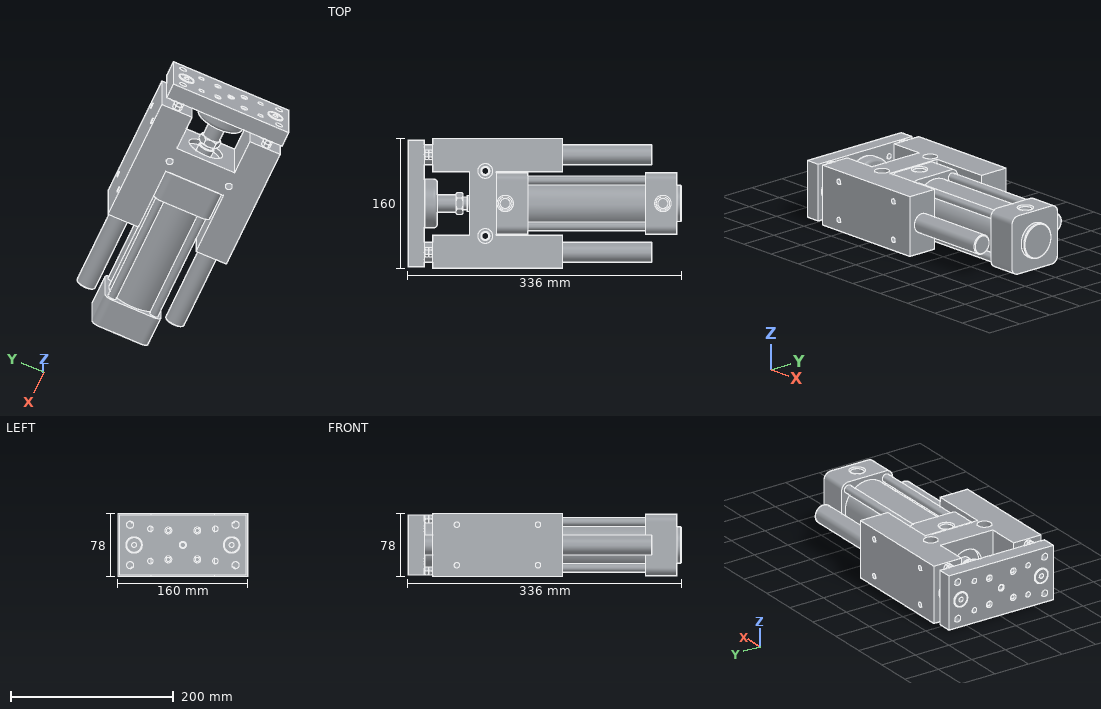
import cadquery as cq
import math


OVERALL_LENGTH = 336.0

BLOCK_FRONT = 30.0
BLOCK_LENGTH = 160.0
BLOCK_WIDTH = 160.0
BLOCK_HEIGHT = 78.0
SLOT_WIDTH = 78.0
BRIDGE_FRONT = 75.3
BRIDGE_REAR = 108.5
RECESS_DIAMETER = 45.0
RECESS_DEPTH = 6.7

MOUNT_HOLE_X = 94.8
MOUNT_HOLE_Y = 40.0
MOUNT_COUNTERBORE_DIAMETER = 18.0
MOUNT_COUNTERBORE_DEPTH = 11.0
MOUNT_CLEARANCE_DIAMETER = 11.0
MOUNT_THREAD_DIAMETER = 8.5

SIDE_HOLE_DIAMETER = 6.7
SIDE_HOLE_DEPTH = 12.0
SIDE_HOLE_FIRST_X = 59.8
SIDE_HOLE_PITCH = 99.8
SIDE_HOLE_Z = 25.0

CAP_SIZE = 76.0
CAP_LENGTH = 38.5
CAP_CORNER_RADIUS = 10.0
REAR_BOSS_DIAMETER = 45.0
REAR_BOSS_LENGTH = 5.7
REAR_BOSS_CHAMFER = 1.0
TUBE_DIAMETER = 65.2
TIE_ROD_DIAMETER = 11.0
TIE_ROD_OFFSET = 28.2

PORT_FRONT_SETBACK = 10.8
PORT_REAR_SETBACK = 17.0
PORT_MOUTH_DIAMETER = 20.0
PORT_THREAD_DIAMETER = 16.5
PORT_FLOOR_DIAMETER = 12.5
PORT_MOUTH_DEPTH = 1.7
PORT_DEPTH = 12.0

PLATE_THICKNESS = 19.8
PLATE_WIDTH = 156.0
PLATE_HEIGHT = 74.0
CORNER_HOLE_DIAMETER = 8.7
CORNER_HOLE_Y = 65.0
CORNER_HOLE_Z = 25.0
INNER_HOLE_DIAMETER = 6.7
INNER_HOLE_Y = 40.0
INNER_HOLE_Z = 19.8
SCREW_HOLE_OFFSET = 17.8
SCREW_HOLE_DIAMETER = 5.0
SCREW_COUNTERSINK_DIAMETER = 8.5
CENTRE_HOLE_DIAMETER = 6.7
CENTRE_COUNTERSINK_DIAMETER = 8.7

GUIDE_ROD_DIAMETER = 25.0
GUIDE_ROD_END = 300.0
GUIDE_ROD_PITCH = 120.0
GUIDE_ROD_CHAMFER = 1.0
ROD_RING_DIAMETER = 20.0
ROD_RING_WIDTH = 1.0
ROD_CENTRE_HOLE_DIAMETER = 6.0
ROD_CENTRE_HOLE_DEPTH = 10.0

FLANGE_DIAMETER = 60.0
FLANGE_REAR = 36.0
FLANGE_FILLET = 4.7
FLANGE_CHAMFER = 1.0
COUPLER_DIAMETER = 22.0
LOCK_NUT_FRONT = 58.5
LOCK_NUT_THICKNESS = 9.0
LOCK_NUT_FLATS = 24.0
ROD_THREAD_DIAMETER = 16.0
PISTON_ROD_DIAMETER = 20.0
PISTON_ROD_FRONT = 72.2
PISTON_ROD_CHAMFER = 0.7

STOP_FLATS = 10.0
STOP_GAP = 0.7
STOP_Z = 32.0

GUIDE_ROD_Y = GUIDE_ROD_PITCH / 2
BLOCK_REAR = BLOCK_FRONT + BLOCK_LENGTH
FRONT_CAP_REAR = BRIDGE_REAR + CAP_LENGTH
REAR_CAP_REAR = OVERALL_LENGTH - REAR_BOSS_LENGTH
REAR_CAP_FRONT = REAR_CAP_REAR - CAP_LENGTH
SIDES = (-1, 1)


def box(x_start, x_end, width, height):
    """Box from x_start to x_end, centred on the X axis."""
    return cq.Workplane("XY").box(x_end - x_start, width, height).translate(((x_start + x_end) / 2, 0, 0))


def rod(x_start, x_end, diameter, y=0, z=0):
    """Round bar along X."""
    return cq.Workplane("YZ", origin=(x_start, y, z)).circle(diameter / 2).extrude(x_end - x_start)


def cone(x_start, x_end, start_diameter, end_diameter, y=0, z=0):
    """Truncated cone along X."""
    solid = cq.Solid.makeCone(
        start_diameter / 2, end_diameter / 2, x_end - x_start, cq.Vector(x_start, y, z), cq.Vector(1, 0, 0)
    )
    return cq.Workplane(obj=solid)


def vertical_bore(x, y, z_bottom, z_top, bottom_diameter, top_diameter):
    """Upright cutter, straight or tapered."""
    bore = cq.Workplane("XY", origin=(x, y, z_bottom)).circle(bottom_diameter / 2)
    if bottom_diameter == top_diameter:
        return bore.extrude(z_top - z_bottom)
    return bore.workplane(offset=z_top - z_bottom).circle(top_diameter / 2).loft()


def hexagon(x_start, x_end, flats, y=0, z=0):
    """Hexagon nut along X, corners toward +-Y, corner-chamfered at 45 degrees on both faces."""
    corners = flats / math.cos(math.pi / 6)
    nut = cq.Workplane("YZ", origin=(x_start, y, z)).polygon(6, corners).extrude(x_end - x_start)
    middle = (x_start + x_end) / 2
    spread = flats + 2 * (middle - x_start)
    rounded = cone(x_start, middle, flats, spread, y, z).union(cone(middle, x_end, spread, flats, y, z))
    return nut.intersect(rounded)


def quadrants(y, z):
    return [(side_y * y, side_z * z) for side_y in SIDES for side_z in SIDES]



def guide_block():
    block = box(BLOCK_FRONT, BLOCK_REAR, BLOCK_WIDTH, BLOCK_HEIGHT)
    block = block.cut(box(BLOCK_FRONT, BRIDGE_FRONT, SLOT_WIDTH, BLOCK_HEIGHT))
    block = block.cut(box(BRIDGE_REAR, BLOCK_REAR, SLOT_WIDTH, BLOCK_HEIGHT))
    block = block.cut(rod(BRIDGE_FRONT, BRIDGE_FRONT + RECESS_DEPTH, RECESS_DIAMETER))
    block = block.cut(rod(BRIDGE_FRONT, BRIDGE_REAR, PISTON_ROD_DIAMETER))
    for side in SIDES:
        block = block.cut(rod(BLOCK_FRONT, BLOCK_REAR, GUIDE_ROD_DIAMETER, side * GUIDE_ROD_Y))
        block = block.cut(mount_hole(side * MOUNT_HOLE_Y))
    return block.cut(side_holes())


def mount_hole(y):
    top = BLOCK_HEIGHT / 2
    seat = top - MOUNT_COUNTERBORE_DEPTH
    counterbore = vertical_bore(
        MOUNT_HOLE_X, y, seat, top, MOUNT_COUNTERBORE_DIAMETER, MOUNT_COUNTERBORE_DIAMETER
    )
    clearance = vertical_bore(MOUNT_HOLE_X, y, 0, seat, MOUNT_CLEARANCE_DIAMETER, MOUNT_CLEARANCE_DIAMETER)
    thread = vertical_bore(MOUNT_HOLE_X, y, -top, 0, MOUNT_THREAD_DIAMETER, MOUNT_THREAD_DIAMETER)
    return counterbore.union(clearance).union(thread)


def side_holes():
    holes = cq.Workplane("XY")
    for x in (SIDE_HOLE_FIRST_X, SIDE_HOLE_FIRST_X + SIDE_HOLE_PITCH):
        for side, z in quadrants(1, SIDE_HOLE_Z):
            start = cq.Vector(x, side * BLOCK_WIDTH / 2, z)
            inward = cq.Vector(0, -side, 0)
            holes = holes.add(cq.Solid.makeCylinder(SIDE_HOLE_DIAMETER / 2, SIDE_HOLE_DEPTH, start, inward))
    return holes.combine()


def end_cap(x_front, port_x):
    cap = box(x_front, x_front + CAP_LENGTH, CAP_SIZE, CAP_SIZE).edges("|X").fillet(CAP_CORNER_RADIUS)
    top = CAP_SIZE / 2
    shoulder = top - PORT_MOUTH_DEPTH
    cap = cap.cut(vertical_bore(port_x, 0, shoulder, top, PORT_THREAD_DIAMETER, PORT_MOUTH_DIAMETER))
    floor = top - PORT_DEPTH
    return cap.cut(vertical_bore(port_x, 0, floor, shoulder, PORT_FLOOR_DIAMETER, PORT_THREAD_DIAMETER))


def cylinder():
    barrel = end_cap(BRIDGE_REAR, BRIDGE_REAR + PORT_FRONT_SETBACK)
    barrel = barrel.union(end_cap(REAR_CAP_FRONT, REAR_CAP_REAR - PORT_REAR_SETBACK))
    barrel = barrel.union(rod(FRONT_CAP_REAR, REAR_CAP_FRONT, TUBE_DIAMETER))
    for y, z in quadrants(TIE_ROD_OFFSET, TIE_ROD_OFFSET):
        barrel = barrel.union(rod(FRONT_CAP_REAR, REAR_CAP_FRONT, TIE_ROD_DIAMETER, y, z))
    boss = rod(REAR_CAP_REAR, OVERALL_LENGTH, REAR_BOSS_DIAMETER).faces(">X").chamfer(REAR_BOSS_CHAMFER)
    return barrel.union(boss)


def stop_screw(y, z):
    front = PLATE_THICKNESS + STOP_GAP
    middle = (front + BLOCK_FRONT) / 2
    head = hexagon(front, middle, STOP_FLATS, y, z)
    nut = hexagon(middle, BLOCK_FRONT, STOP_FLATS, y, z)
    return head.union(nut)


def make_cylinder_unit():
    unit = guide_block().union(cylinder())
    for y, z in quadrants(GUIDE_ROD_Y, STOP_Z):
        unit = unit.union(stop_screw(y, z))
    return unit



def tool_plate():
    plate = box(0, PLATE_THICKNESS, PLATE_WIDTH, PLATE_HEIGHT)
    for y, z in quadrants(CORNER_HOLE_Y, CORNER_HOLE_Z):
        plate = plate.cut(rod(0, PLATE_THICKNESS, CORNER_HOLE_DIAMETER, y, z))
    for y, z in quadrants(INNER_HOLE_Y, INNER_HOLE_Z):
        plate = plate.cut(rod(0, PLATE_THICKNESS, INNER_HOLE_DIAMETER, y, z))
    for y, z in quadrants(SCREW_HOLE_OFFSET, SCREW_HOLE_OFFSET):
        plate = plate.cut(countersunk_hole(SCREW_HOLE_DIAMETER, SCREW_COUNTERSINK_DIAMETER, y, z))
    return plate.cut(countersunk_hole(CENTRE_HOLE_DIAMETER, CENTRE_COUNTERSINK_DIAMETER))


def countersunk_hole(diameter, mouth_diameter, y=0, z=0):
    """Cutter for a hole through the plate, its front mouth with a 90 degree countersink."""
    countersink = cone(0, (mouth_diameter - diameter) / 2, mouth_diameter, diameter, y, z)
    return countersink.union(rod(0, PLATE_THICKNESS, diameter, y, z))


def guide_rod(y):
    bar = rod(PLATE_THICKNESS, GUIDE_ROD_END, GUIDE_ROD_DIAMETER, y)
    return bar.faces(">X").chamfer(GUIDE_ROD_CHAMFER)


def guide_rod_seat(y):
    """V-shaped ring groove and centre hole where the rod end is flush with the plate."""
    tip_diameter = ROD_RING_DIAMETER - 2 * ROD_RING_WIDTH
    ring = rod(0, ROD_RING_WIDTH, ROD_RING_DIAMETER, y)
    ring = ring.cut(cone(0, ROD_RING_WIDTH, tip_diameter, ROD_RING_DIAMETER, y))
    return ring.union(rod(0, ROD_CENTRE_HOLE_DEPTH, ROD_CENTRE_HOLE_DIAMETER, y))


def piston_rod():
    nut_rear = LOCK_NUT_FRONT + LOCK_NUT_THICKNESS
    flange = rod(PLATE_THICKNESS, FLANGE_REAR, FLANGE_DIAMETER)
    flange = flange.faces(">X").edges().fillet(FLANGE_FILLET).faces("<X").chamfer(FLANGE_CHAMFER)
    coupler = rod(FLANGE_REAR, LOCK_NUT_FRONT, COUPLER_DIAMETER)
    nut = hexagon(LOCK_NUT_FRONT, nut_rear, LOCK_NUT_FLATS)
    thread = rod(nut_rear, PISTON_ROD_FRONT, ROD_THREAD_DIAMETER)
    shaft = rod(PISTON_ROD_FRONT, BRIDGE_REAR, PISTON_ROD_DIAMETER).faces("<X").chamfer(PISTON_ROD_CHAMFER)
    return flange.union(coupler).union(nut).union(thread).union(shaft)


def make_slide():
    slide = tool_plate().union(piston_rod())
    for side in SIDES:
        slide = slide.union(guide_rod(side * GUIDE_ROD_Y))
        slide = slide.cut(guide_rod_seat(side * GUIDE_ROD_Y))
    return slide


cylinder_unit = make_cylinder_unit()
slide = make_slide()

result = cq.Compound.makeCompound([cylinder_unit.val(), slide.val()])